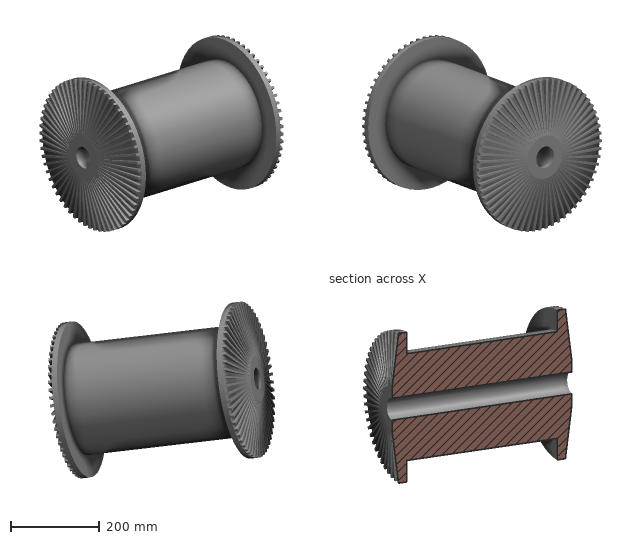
import cadquery as cq
spool_length = 457
flange_diameter = 355.5
barrel_diameter = 254.0
hub_diameter = 101.5
bore_diameter = 50.7
barrel_length = 381.0
rim_thickness = 13.0
rib_rim_height = 8.5
rib_count = 60
rib_angle = 2

flange_radius = flange_diameter / 2
hub_radius = hub_diameter / 2
inner_face = barrel_length / 2
outer_face = spool_length / 2
groove_floor_edge = inner_face + rim_thickness
rib_top_edge = groove_floor_edge + rib_rim_height
rib_pitch = 360 / rib_count
groove_angle = rib_pitch - rib_angle

axis_start = (0, 0, 0)
axis_end = (0, 1, 0)


def cylinder_along_y(diameter, length):
    """Cylinder on the spool axis, centred on the origin."""
    return cq.Workplane("XZ").circle(diameter / 2).extrude(length / 2, both=True)


def make_flange_blank():
    """Disc whose outer face is a cone rising from the rim to a flat hub face."""
    profile = cq.Workplane("XY").polyline(
        [
            (0, inner_face),
            (flange_radius, inner_face),
            (flange_radius, rib_top_edge),
            (hub_radius, outer_face),
            (0, outer_face),
        ]
    )
    return profile.close().revolve(360, axis_start, axis_end)


def make_groove():
    """Wedge between two ribs, deepest at the rim and running out at the hub edge."""
    overshoot = 4.5
    slope_run = flange_radius - hub_radius
    floor_drop = (outer_face - groove_floor_edge) * overshoot / slope_run
    outer_radius = flange_radius + overshoot
    profile = cq.Workplane("XY").polyline(
        [
            (hub_radius, outer_face),
            (outer_radius, groove_floor_edge - floor_drop),
            (outer_radius, outer_face),
        ]
    )
    wedge = profile.close().revolve(groove_angle, axis_start, axis_end)
    return wedge.rotate(axis_start, axis_end, rib_angle / 2)


def make_flange():
    """Flange with radial grooves that leave ribs tapering towards the hub."""
    blank = make_flange_blank()
    groove = make_groove()
    grooves = [groove.rotate(axis_start, axis_end, index * rib_pitch).val() for index in range(rib_count)]
    return cq.Workplane(blank.val().cut(*grooves))


barrel = cylinder_along_y(barrel_diameter, barrel_length)
flange = make_flange()
opposite_flange = flange.mirror("XZ")
bore = cylinder_along_y(bore_diameter, spool_length)

result = barrel.union(flange).union(opposite_flange).cut(bore)